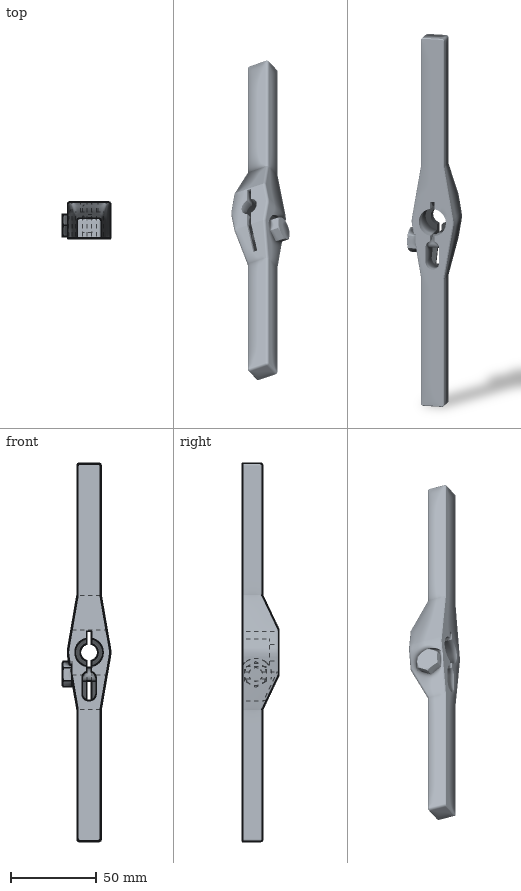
import cadquery as cq
import math

length = 222.0
bar_width = 14.0
bar_depth = 12.0
hub_width = 25.7
hub_depth = 21.59
hub_half_length = 33.7
slope_half_length = 33.4
hub_flat_half_length = 13.2
hub_crest_radius = 13.5
edge_radius = 1.4
front_edge_chamfer = 0.5

bore_diameter = 10.2
recess_diameter = 16.4
recess_depth = 16.0

slit_width = 2.67
slit_top = 12.4
pocket_width = 8.2
pocket_top = -11.1
pocket_bottom = -28.3
pocket_back_wall = 1.8

bolt_y = 7.8
bolt_z = -12.8
shank_diameter = 8.0
head_across_flats = 13.0
head_height = 5.5
head_outer_x = -15.65
head_corner_angle = 30.0
shank_end_x = 8.0
seat_diameter = 18.8

head_across_corners = head_across_flats / math.cos(math.radians(30))
seat_x = head_outer_x + head_height
half_length = length / 2
half_bar = bar_width / 2
half_hub = hub_width / 2


def make_body():
    """Front outline and side outline crossed, with rounded crests, back edges and ends."""
    outline = (
        cq.Workplane("XZ")
        .polyline([
            (-half_bar, -half_length),
            (half_bar, -half_length),
            (half_bar, -hub_half_length),
            (half_hub, 0),
            (half_bar, hub_half_length),
            (half_bar, half_length),
            (-half_bar, half_length),
            (-half_bar, hub_half_length),
            (-half_hub, 0),
            (-half_bar, -hub_half_length),
        ])
        .close()
        .extrude(-hub_depth)
    )
    outline = outline.edges("|Y and (<X or >X)").fillet(hub_crest_radius)
    side = (
        cq.Workplane("YZ")
        .polyline([
            (0, -half_length),
            (bar_depth, -half_length),
            (bar_depth, -slope_half_length),
            (hub_depth, -hub_flat_half_length),
            (hub_depth, hub_flat_half_length),
            (bar_depth, slope_half_length),
            (bar_depth, half_length),
            (0, half_length),
        ])
        .close()
        .extrude(hub_width, both=True)
    )
    body = outline.intersect(side)
    body = body.faces("<Z or >Z").edges("|Y").fillet(edge_radius)
    back_half = cq.selectors.BoxSelector(
        (-hub_width, bar_depth / 2, -length), (hub_width, 2 * hub_depth, length)
    )
    lengthwise = cq.selectors.StringSyntaxSelector("not (|X or |Y)")
    ends = cq.selectors.StringSyntaxSelector("|X and (>Z or <Z)")
    body = body.edges(back_half & (lengthwise + ends)).fillet(edge_radius)
    return body.faces("<Y").chamfer(front_edge_chamfer)


def front_prism(sketch, depth):
    """Extrude a front-face sketch into the part, from y = 0 to y = depth."""
    return sketch.extrude(-depth)


def make_bore():
    """Through bore with the wider front recess around it."""
    bore = front_prism(cq.Workplane("XZ").circle(bore_diameter / 2), hub_depth)
    recess = front_prism(cq.Workplane("XZ").circle(recess_diameter / 2), recess_depth)
    return bore.union(recess)


def make_slit():
    """Slit from above the bore down to where its sides meet the pocket's round end."""
    end_radius = pocket_width / 2
    slit_bottom = pocket_bottom + end_radius - math.sqrt(end_radius**2 - (slit_width / 2) ** 2)
    slit_length = slit_top - slit_bottom
    slit_middle = (slit_top + slit_bottom) / 2
    sketch = cq.Workplane("XZ").center(0, slit_middle).rect(slit_width, slit_length)
    return front_prism(sketch, hub_depth)


def make_pocket():
    """Round-ended pocket whose floor runs parallel to the lower back slope."""
    pocket_length = pocket_top - pocket_bottom
    pocket_middle = (pocket_top + pocket_bottom) / 2
    sketch = cq.Workplane("XZ").center(0, pocket_middle).slot2D(pocket_length, pocket_width, 90)
    slope_rise = hub_depth - bar_depth
    slope_run = slope_half_length - hub_flat_half_length
    slope = slope_rise / slope_run
    wall_in_y = pocket_back_wall * math.hypot(1, slope)
    floor_bottom_y = bar_depth + slope * (pocket_bottom + slope_half_length) - wall_in_y
    floor_top_y = floor_bottom_y + slope * pocket_length
    depth_limit = (
        cq.Workplane("YZ")
        .polyline([
            (0, pocket_bottom),
            (floor_bottom_y, pocket_bottom),
            (floor_top_y, pocket_top),
            (0, pocket_top),
        ])
        .close()
        .extrude(pocket_width, both=True)
    )
    return front_prism(sketch, hub_depth).intersect(depth_limit)


def along_bolt(x):
    """Workplane across the bolt axis, with its origin on the axis at the given x."""
    return cq.Workplane("YZ", origin=(x, bolt_y, bolt_z))


def make_seat():
    """Flat spot face under the bolt head."""
    return along_bolt(-hub_width).circle(seat_diameter / 2).extrude(hub_width + seat_x)


def make_bolt():
    """Hexagon head with its outer corners turned off, and a shank reaching across the slit."""
    hexagon = along_bolt(head_outer_x).transformed(rotate=(0, 0, 90))
    head = hexagon.polygon(6, head_across_corners).extrude(head_height)
    corner_width = (head_across_corners - head_across_flats) / 2
    corner_height = corner_width * math.tan(math.radians(head_corner_angle))
    turned = (
        along_bolt(head_outer_x)
        .circle(head_across_corners / 2)
        .extrude(head_height)
        .faces("<X")
        .chamfer(corner_height, corner_width)
    )
    shank = along_bolt(seat_x).circle(shank_diameter / 2).extrude(shank_end_x - seat_x)
    return head.intersect(turned).union(shank)


clamp = make_body().cut(make_bore()).cut(make_slit()).cut(make_pocket()).cut(make_seat())
result = clamp.union(make_bolt())